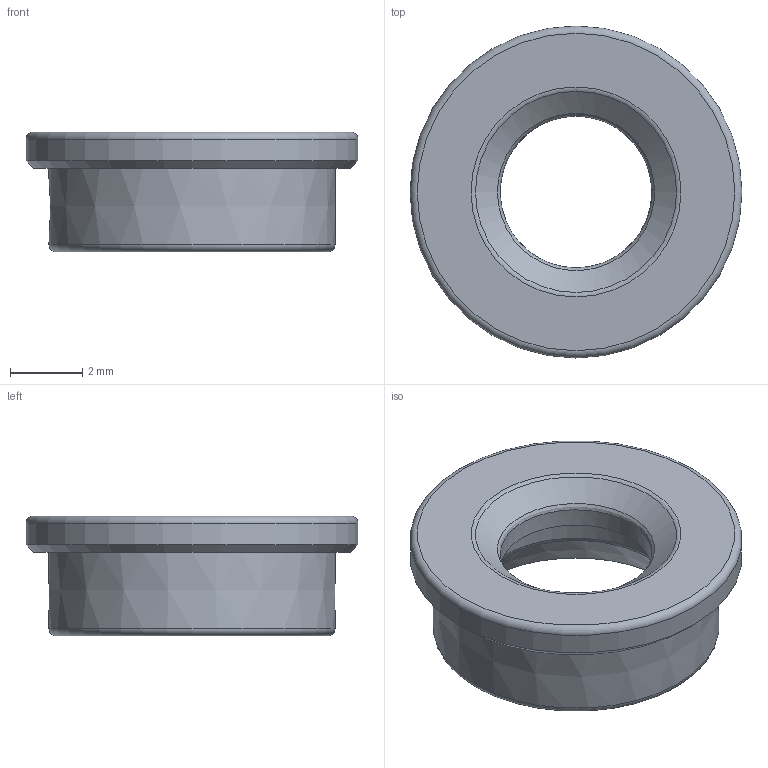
import cadquery as cq
import math

FLANGE_RADIUS = 4.6
TOTAL_HEIGHT = 3.32
FLANGE_THICKNESS = 1.0
FLANGE_CHAMFER = 0.2
EDGE_ROUND = 0.2

BARREL_TOP_RADIUS = 3.98
BARREL_BOTTOM_RADIUS = 3.965

THROAT_RADIUS = 2.1
LEAD_IN_RADIUS = 2.84
LEAD_IN_HALF_ANGLE = 52.0
THROAT_END_DEPTH = 1.19

RECESS_TOP_RADIUS = 2.79
RECESS_BOTTOM_RADIUS = 2.82
RECESS_END_DEPTH = 2.2
FLARE_MOUTH_RADIUS = 3.53

FLANGE_BOTTOM = TOTAL_HEIGHT - FLANGE_THICKNESS
LEAD_IN_DEPTH = (LEAD_IN_RADIUS - THROAT_RADIUS) / math.tan(math.radians(LEAD_IN_HALF_ANGLE))
LEAD_IN_BOTTOM = TOTAL_HEIGHT - LEAD_IN_DEPTH
THROAT_BOTTOM = TOTAL_HEIGHT - THROAT_END_DEPTH
RECESS_BOTTOM = TOTAL_HEIGHT - RECESS_END_DEPTH

PICK_MARGIN = 0.02


def make_body():
    """Revolve the wall section, with its edges still sharp, about the Z axis."""
    section = (
        cq.Workplane("XZ")
        .moveTo(LEAD_IN_RADIUS, TOTAL_HEIGHT)
        .lineTo(FLANGE_RADIUS, TOTAL_HEIGHT)
        .lineTo(FLANGE_RADIUS, FLANGE_BOTTOM + FLANGE_CHAMFER)
        .lineTo(FLANGE_RADIUS - FLANGE_CHAMFER, FLANGE_BOTTOM)
        .lineTo(BARREL_TOP_RADIUS, FLANGE_BOTTOM)
        .lineTo(BARREL_BOTTOM_RADIUS, 0)
        .lineTo(FLARE_MOUTH_RADIUS, 0)
        .lineTo(RECESS_BOTTOM_RADIUS, RECESS_BOTTOM)
        .lineTo(RECESS_TOP_RADIUS, THROAT_BOTTOM)
        .lineTo(THROAT_RADIUS, THROAT_BOTTOM)
        .lineTo(THROAT_RADIUS, LEAD_IN_BOTTOM)
        .close()
    )
    return section.revolve(360, (0, 0, 0), (0, 1, 0))


def disc_box(radius, height):
    """Select edges that lie near the given height and within the given radius."""
    low_corner = (-radius, -radius, height - PICK_MARGIN)
    high_corner = (radius, radius, height + PICK_MARGIN)
    return cq.selectors.BoxSelector(low_corner, high_corner, boundingbox=True)


def round_edge(body, radius, height):
    """Round the circular edge of the given radius at the given height."""
    up_to_edge = disc_box(radius + PICK_MARGIN, height)
    inside_edge = disc_box(radius - PICK_MARGIN, height)
    return body.edges(up_to_edge - inside_edge).fillet(EDGE_ROUND)


ROUNDED_EDGES = (
    (FLANGE_RADIUS, TOTAL_HEIGHT),
    (LEAD_IN_RADIUS, TOTAL_HEIGHT),
    (THROAT_RADIUS, LEAD_IN_BOTTOM),
    (RECESS_BOTTOM_RADIUS, RECESS_BOTTOM),
    (BARREL_BOTTOM_RADIUS, 0),
)

result = make_body()
for edge_radius, edge_height in ROUNDED_EDGES:
    result = round_edge(result, edge_radius, edge_height)